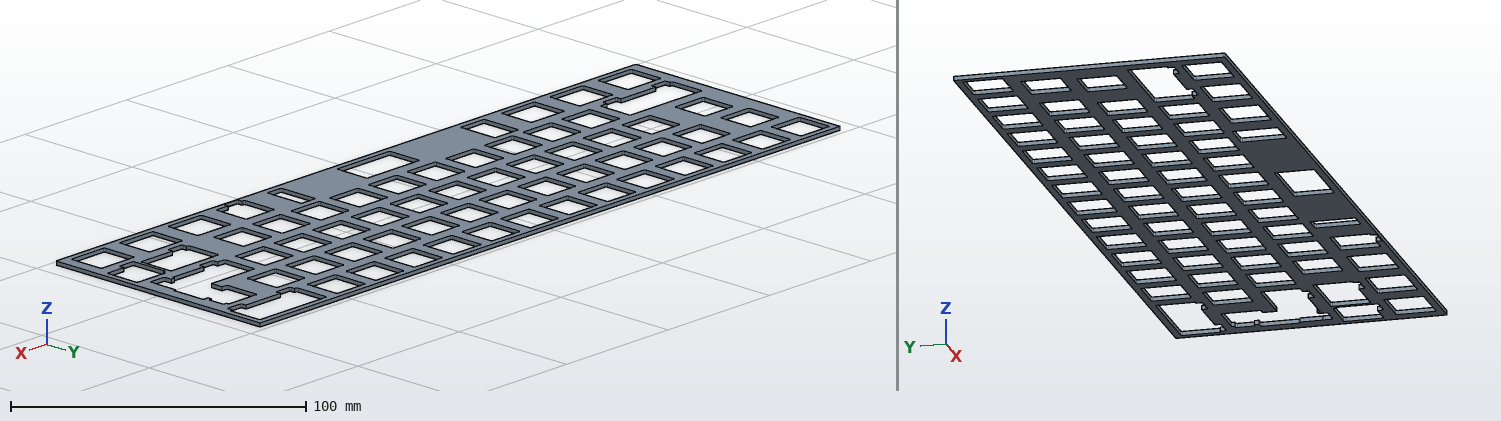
import cadquery as cq

length = 285.8
columns = 15
rows = 5
pitch = length / columns
width = rows * pitch
thickness = 1.5

corner_radius = 0.51

switch_side = 14.0

stab_width = 7.0
stab_long_reach = 9.1
stab_short_reach = 6.0
stab_offset = 12.0

single_switches = [
    [0.5 + i for i in range(13)],
    [0.75] + [2 + i for i in range(12)] + [14.25],
    [0.875] + [2.25 + i for i in range(11)],
    [2.75 + i for i in range(10)] + [14.5],
    [10.625],
]

shared_switches = [
    (0, 13.5, 14.5),
    (2, 13.25, 13.875),
    (3, 0.625, 1.75),
    (3, 13.125, 13.625),
    (4, 0.625, 0.75),
    (4, 1.875, 2),
    (4, 3.125, 3.25),
    (4, 6.875, 7.5),
    (4, 11.75, 11.875),
    (4, 13, 13.125),
    (4, 14.25, 14.375),
]

backspace = (0, 14)
enter = (2, 13.875)
left_shift = (3, 1.125)
right_shift = (3, 13.625)

tall_enter_row = 1.5
tall_enter_column = 14.375

space_row = 4
short_space_stabs = (4.25, 9.5)
long_space_stabs = (4.5, 10.5)
space_stab_short_reach = 7.0


def key_x(column):
    return column * pitch - length / 2


def key_y(row):
    return width / 2 - (row + 0.5) * pitch


def opening(x_min, x_max, y_min, y_max):
    """Round-cornered cutter through the plate with the given limits."""
    block = cq.Workplane("XY").box(x_max - x_min, y_max - y_min, thickness, centered=False)
    return block.edges("|Z").fillet(corner_radius).translate((x_min, y_min, 0))


def switch_opening(row, left, right):
    half = switch_side / 2
    y = key_y(row)
    return opening(key_x(left) - half, key_x(right) + half, y - half, y + half)


def stab_opening(x_left, x_right, y, reach_down, reach_up):
    half = stab_width / 2
    return opening(x_left - half, x_right + half, y - reach_down, y + reach_up)


def stab_pair(row, column):
    """Two stabilizer openings with the long reach toward -Y."""
    centers = [key_x(column) + side * stab_offset for side in (-1, 1)]
    return [stab_opening(x, x, key_y(row), stab_long_reach, stab_short_reach) for x in centers]


def tall_enter_openings():
    """Switch opening and two stabilizers turned so the long reach faces -X.

    The lower stabilizer opening runs up to the top of the one-row enter opening,
    so that no loose scrap is left between the two enter keys.
    """
    x = key_x(tall_enter_column)
    x_min = x - stab_long_reach
    x_max = x + stab_short_reach
    half = stab_width / 2
    upper_y = key_y(tall_enter_row) + stab_offset
    lower_y = key_y(tall_enter_row) - stab_offset
    enter_row, _ = enter
    enter_top = key_y(enter_row) + switch_side / 2
    return [
        switch_opening(tall_enter_row, tall_enter_column, tall_enter_column),
        opening(x_min, x_max, upper_y - half, upper_y + half),
        opening(x_min, x_max, lower_y - half, enter_top),
    ]


def space_bar_openings():
    """Stabilizers with the long reach toward +Y, except the right one of the long bar."""
    y = key_y(space_row)
    short_left, short_right = [key_x(column) for column in short_space_stabs]
    long_left, long_right = [key_x(column) for column in long_space_stabs]
    return [
        stab_opening(short_left, long_left, y, space_stab_short_reach, stab_long_reach),
        stab_opening(short_right, short_right, y, space_stab_short_reach, stab_long_reach),
        stab_opening(long_right, long_right, y, stab_long_reach, stab_short_reach),
    ]


openings = []
for row, centers in enumerate(single_switches):
    openings += [switch_opening(row, column, column) for column in centers]
for row, left, right in shared_switches:
    openings.append(switch_opening(row, left, right))
for row, column in (backspace, enter, left_shift, right_shift):
    openings += stab_pair(row, column)
openings += tall_enter_openings()
openings += space_bar_openings()

plate = cq.Workplane("XY").box(length, width, thickness, centered=(True, True, False))
plate = plate.edges("|Z and <Y").fillet(corner_radius)
pierced = plate.val().cut(*[cutter.val() for cutter in openings])
result = cq.Workplane("XY").newObject(pierced.Solids())